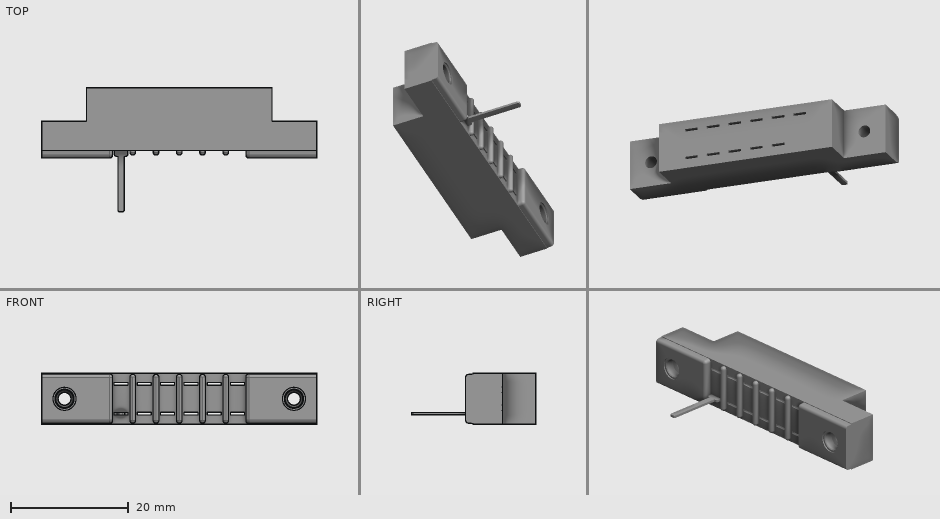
import cadquery as cq
import math

length = 46.8
height = 8.7
nose_width = 31.65
ear_rear_y = -5.65
front_y = -10.7

pad_length = 12.05
pad_rise = 1.25
pad_inset = 0.115
pad_fillet = 0.55
pad_draft = math.radians(5)
rib_width = 1.0
rib_rise = 0.75
rib_inset = 0.2
rib_flat = 0.01
rib_fillet = (rib_width - rib_flat) / 2

slot_columns = 6
slot_row_span = 19.8
pitch = slot_row_span / (slot_columns - 1)
slot_width = 2.35
slot_height = 0.4
row_z = 2.55

shoulder_y = -11.7
shoulder_fillet = 0.4
tail_width = 1.1
tail_end_y = -21.1
tail_fillet = 0.35

insert_x = 19.5
insert_radius = 1.95
insert_recess = 0.2
mouth_radius = 1.65
bore_radius = 1.5
bore_depth = 1.55
throat_radius = 1.08

pad_front_y = front_y - pad_rise
insert_front_y = pad_front_y + insert_recess
insert_length = ear_rear_y - insert_front_y


def make_pad():
    """Left ear pad, drafted on its top and bottom and rounded on its front and its inner end."""
    base_z = height / 2 - pad_inset
    front_z = base_z - pad_rise * math.tan(pad_draft)
    profile = [
        (front_y, -base_z),
        (pad_front_y, -front_z),
        (pad_front_y, front_z),
        (front_y, base_z),
    ]
    pad = cq.Workplane("YZ", origin=(-length / 2, 0, 0)).polyline(profile).close().extrude(pad_length)
    inner_edges = pad.faces(">X").edges("not >Y")
    front_edges = pad.faces("<Y").edges("|X")
    return inner_edges.add(front_edges).fillet(pad_fillet)


def make_rib(x):
    """Upright rib with round ends and a rounded front."""
    outline = cq.Workplane("XZ", origin=(x, front_y, 0)).slot2D(height - 2 * rib_inset, rib_width, 90)
    return outline.extrude(rib_rise).faces("<Y").edges().fillet(rib_fillet)


def make_slot(x, z):
    """Contact slot running through the housing from front to rear."""
    return cq.Workplane("XY").box(slot_width, -front_y, slot_height).translate((x, front_y / 2, z))


def make_insert_hole(x):
    """Round hole through an ear and its pad."""
    hole = cq.Workplane("XZ", origin=(x, ear_rear_y, 0)).circle(insert_radius)
    return hole.extrude(ear_rear_y - pad_front_y)


def make_housing(slot_xs):
    """Block with a wide ear at each end, plus pads and ribs, cut by the slots and insert holes."""
    nose = cq.Workplane("XY").box(nose_width, -front_y, height).translate((0, front_y / 2, 0))
    ear_depth = ear_rear_y - front_y
    ears = cq.Workplane("XY").box(length, ear_depth, height).translate((0, front_y + ear_depth / 2, 0))
    body = nose.union(ears)

    left_pad = make_pad()
    body = body.union(left_pad).union(left_pad.mirror("YZ"))

    rib_count = slot_columns - 1
    for i in range(rib_count):
        body = body.union(make_rib((i - (rib_count - 1) / 2) * pitch))

    for x in slot_xs:
        for z in (-row_z, row_z):
            body = body.cut(make_slot(x, z))

    for x in (-insert_x, insert_x):
        body = body.cut(make_insert_hole(x))
    return body


def make_contact_strip(width, rear_y, end_y, corner_fillet):
    """Flat strip of contact metal with rounded corners at its front end."""
    strip = cq.Workplane("XY").box(width, rear_y - end_y, slot_height)
    strip = strip.faces("<Y").edges("|Z").fillet(corner_fillet)
    return strip.translate((0, (rear_y + end_y) / 2, 0))


def make_contact(x):
    """Flat contact: a blade filling its slot, with a narrow tail out of the front."""
    blade = make_contact_strip(slot_width, 0, shoulder_y, shoulder_fillet)
    tail = make_contact_strip(tail_width, shoulder_y, tail_end_y, tail_fillet)
    return blade.union(tail).translate((x, 0, -row_z))


def make_insert(x):
    """Turned insert: chamfered mouth, wide bore, then a conical step down to the throat."""
    mouth_chamfer = mouth_radius - bore_radius
    step = bore_radius - throat_radius
    half_section = [
        (insert_radius, 0),
        (insert_radius, insert_length),
        (throat_radius, insert_length),
        (throat_radius, bore_depth + step),
        (bore_radius, bore_depth),
        (bore_radius, mouth_chamfer),
        (mouth_radius, 0),
    ]
    turned = cq.Workplane("XY").polyline(half_section).close().revolve(360, (0, 0, 0), (0, 1, 0))
    return turned.translate((x, insert_front_y, 0))


slot_xs = [(i - (slot_columns - 1) / 2) * pitch for i in range(slot_columns)]
housing = make_housing(slot_xs)
contact = make_contact(slot_xs[0])
inserts = [make_insert(x) for x in (-insert_x, insert_x)]

result = cq.Compound.makeCompound(
    [housing.val(), contact.val(), *[insert.val() for insert in inserts]]
)